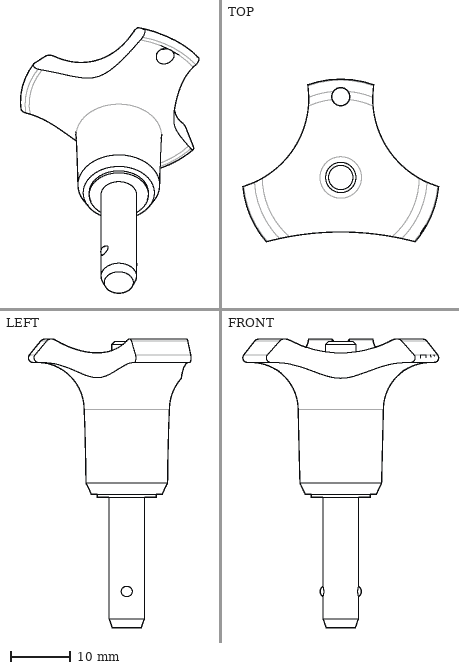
import cadquery as cq
import math


shaft_radius = 3.0
shaft_length = 22.0
tip_radius = 2.45
tip_height = 1.55

ball_radius = 1.0
ball_reach = 3.5
ball_height_above_tip = 6.15
ball_height = ball_height_above_tip - shaft_length

collar_radius = 5.0
collar_height = 0.5
body_bottom_radius = 6.0
body_low_radius = 6.9
body_chamfer_height = 1.9
body_top_radius = 7.2

grip_top = 26.7
rim_radius = 16.58
rim_depth = 4.0
rim_underside = grip_top - rim_depth
rim_fillet = 0.8
rim_slope_angle = math.radians(38.7)
flare_radius = 7.9
crest_fillet = 1.0
crest_stock = 2.0

dish_radius = 23.46
dish_center_rise = 19.2
dish_center = grip_top + dish_center_rise
bush_radius = 3.5
bush_top = dish_center - math.sqrt(dish_radius**2 - bush_radius**2)

button_radius = 2.55
button_recess = 0.45
button_top = grip_top - button_recess
button_chamfer = 0.5

side_scallop_x = 20.9
side_scallop_y = 13.33
side_scallop_radius = 15.5
front_scallop_y = -57.8
front_scallop_radius = 48.6

lanyard_hole_y = 13.6
lanyard_hole_diameter = 3.0


def make_grip():
    """Turned body, flare and dished head, before the scallops are cut."""
    body_low = collar_height + body_chamfer_height
    flare_bottom = rim_underside - flare_radius
    flare_end = body_top_radius + flare_radius
    flare_mid_offset = flare_radius * math.cos(math.pi / 4)

    corner_angle = math.pi / 2 - rim_slope_angle
    rim_corner = rim_radius - rim_fillet + rim_fillet / math.tan(corner_angle / 2)
    stock_top = grip_top + crest_stock
    stock_top_radius = rim_corner - (stock_top - rim_underside) * math.tan(rim_slope_angle)

    grip = (
        cq.Workplane("XZ")
        .moveTo(0, collar_height)
        .lineTo(body_bottom_radius, collar_height)
        .lineTo(body_low_radius, body_low)
        .lineTo(body_top_radius, flare_bottom)
        .threePointArc(
            (flare_end - flare_mid_offset, flare_bottom + flare_mid_offset),
            (flare_end, rim_underside),
        )
        .lineTo(rim_corner, rim_underside)
        .lineTo(stock_top_radius, stock_top)
        .lineTo(0, stock_top)
        .close()
        .revolve(360, (0, 0, 0), (0, 1, 0))
    )
    grip = grip.edges(cq.selectors.RadiusNthSelector(-1)).fillet(rim_fillet)

    dish = cq.Workplane("XY").sphere(dish_radius).translate((0, 0, dish_center))
    grip = grip.cut(dish)
    return grip.edges(">Z").fillet(crest_fillet)


def scallop(x, y, radius):
    """Upright cutter through the full height of the grip."""
    return cq.Workplane("XY").center(x, y).circle(radius).extrude(grip_top + crest_stock)


def cut_lobes(grip):
    """Cut the three scallops and the lanyard hole."""
    for side in (-1, 1):
        grip = grip.cut(scallop(side * side_scallop_x, side_scallop_y, side_scallop_radius))
    grip = grip.cut(scallop(0, front_scallop_y, front_scallop_radius))
    return grip.cut(scallop(0, lanyard_hole_y, lanyard_hole_diameter / 2))


def make_button():
    """Chamfered push button standing on a flat bush face."""
    bush = cq.Workplane("XY").circle(bush_radius).extrude(bush_top)
    button = cq.Workplane("XY").circle(button_radius).extrude(button_top)
    return bush.union(button.faces(">Z").chamfer(button_chamfer))


def make_shaft():
    """Shaft with a conical tip, topped by the collar under the body."""
    shaft = (
        cq.Workplane("XZ")
        .moveTo(0, -shaft_length)
        .lineTo(tip_radius, -shaft_length)
        .lineTo(shaft_radius, tip_height - shaft_length)
        .lineTo(shaft_radius, 0)
        .lineTo(collar_radius, 0)
        .lineTo(collar_radius, collar_height)
        .lineTo(0, collar_height)
        .close()
        .revolve(360, (0, 0, 0), (0, 1, 0))
    )
    for side in (-1, 1):
        ball_x = side * (ball_reach - ball_radius)
        shaft = shaft.union(cq.Workplane("XY").sphere(ball_radius).translate((ball_x, 0, ball_height)))
    return shaft


result = cut_lobes(make_grip()).union(make_shaft()).union(make_button())